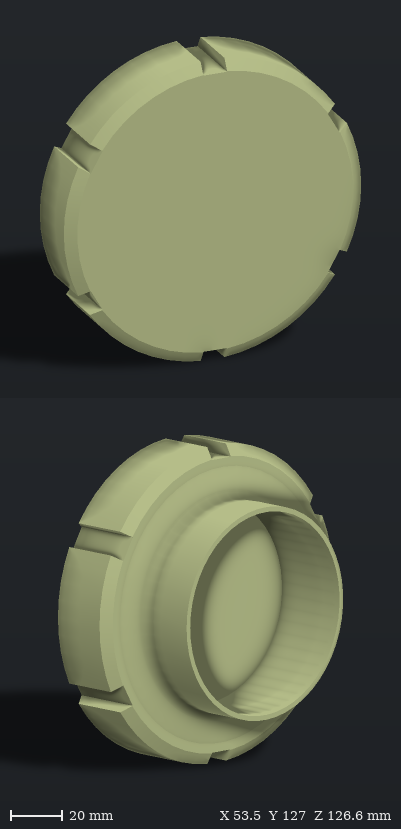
import cadquery as cq
import math

total_length = 53.5
outer_radius = 63.5

tube_radius = 85.0 / 2
bore_radius = 81.0 / 2
bore_depth = 32.5
tube_length = 19.2

fillet_radius = 4.0
cone_angle = math.radians(10)
cone_outer_radius = 110.0 / 2

nut_length = 28.8
chamfer_length = 2.7
chamfer_angle = math.radians(60)
slot_count = 6
slot_width = 10.2
slot_floor_distance = 58.4

nut_start = total_length - nut_length
face_radius = outer_radius - chamfer_length * math.tan(chamfer_angle)


def fillet_point(angle):
    """Point on the fillet, turned by angle from where it leaves the tube."""
    x = tube_length + fillet_radius * math.sin(angle)
    radius = tube_radius + fillet_radius * (1 - math.cos(angle))
    return x, radius


def make_body():
    """Tube, fillet, cone and chamfered nut as one turned solid."""
    fillet_turn = math.pi / 2 - cone_angle
    return (
        cq.Workplane("XY")
        .moveTo(0, 0)
        .lineTo(0, tube_radius)
        .lineTo(tube_length, tube_radius)
        .threePointArc(fillet_point(fillet_turn / 2), fillet_point(fillet_turn))
        .lineTo(nut_start, cone_outer_radius)
        .lineTo(nut_start, face_radius)
        .lineTo(nut_start + chamfer_length, outer_radius)
        .lineTo(total_length - chamfer_length, outer_radius)
        .lineTo(total_length, face_radius)
        .lineTo(total_length, 0)
        .close()
        .revolve(360, (0, 0, 0), (1, 0, 0))
    )


def make_bore():
    """Blind bore entering from the tube end."""
    return cq.Workplane("YZ").circle(bore_radius).extrude(bore_depth)


def make_slots():
    """Flat-floored spanner slots, evenly spaced and starting at +Z."""
    slot = cq.Workplane("XY").box(
        nut_length, slot_width, outer_radius, centered=(False, True, False)
    ).translate((nut_start, 0, slot_floor_distance))
    slots = cq.Workplane("XY")
    for index in range(slot_count):
        turned = slot.rotate((0, 0, 0), (1, 0, 0), index * 360 / slot_count)
        slots = slots.add(turned)
    return slots.combine()


result = make_body().cut(make_bore()).cut(make_slots())